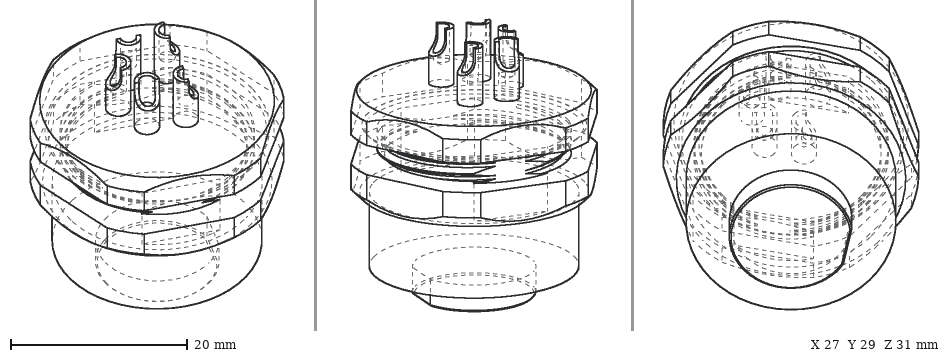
import cadquery as cq
import math


plug_length = 3.25
body_length = 8.9
nut_thickness = 4.5
neck_gap = 3.1
collar_thickness = 0.4
flange_thickness = 4.0
pin_length = 6.8

body_bottom = plug_length
nut_bottom = body_bottom + body_length
nut_top = nut_bottom + nut_thickness
collar_bottom = nut_top + neck_gap
flange_bottom = collar_bottom + collar_thickness
flange_top = flange_bottom + flange_thickness
pin_top = flange_top + pin_length

plug_radius = 7.0
plug_flat_y = 6.55
plug_chamfer = 0.2
body_radius = 11.9

across_flats = 27.0
corner_radius = 14.5
flange_chamfer = 1.2
nut_chamfer = 1.5
collar_radius = 12.75
collar_chamfer = 0.35

thread_radius = 11.02
neck_across_flats = 20.05
pitch = 1.5
thread_depth = 0.82
root_width = 0.4
flank_angle = 30.0
cutter_overshoot = 0.3
groove_end_angle = 237.0
groove_end_z = 18.8
groove_turns = 3
runout_angle = 73.0

pin_circle_radius = 4.56
pin_radius = 1.43
cup_radius = 0.92
cup_depth = 4.0
cup_tip_angle = 118.0
cut_straight = 1.35
cut_arc_radius = 2.0
pin_angles = [(30, 90), (150, 90), (210, 180), (270, 270), (330, 0)]


def cylinder(radius, bottom, top):
    return cq.Workplane("XY").workplane(offset=bottom).circle(radius).extrude(top - bottom)


def hexagon(bottom, thickness, chamfer, chamfer_face):
    """Hexagon with flats facing +X and -X, limited by a chamfered round blank."""
    prism = (
        cq.Workplane("XY")
        .workplane(offset=bottom)
        .polygon(6, across_flats, circumscribed=True)
        .extrude(thickness)
    )
    blank = cylinder(corner_radius, bottom, bottom + thickness)
    return prism.intersect(blank.faces(chamfer_face).chamfer(chamfer))


def sweep_groove(helix):
    """Sweep the thread groove profile from the start of a helix on the +X axis."""
    root_radius = thread_radius - thread_depth
    outer_radius = thread_radius + cutter_overshoot
    root_half = root_width / 2
    flank_rise = (outer_radius - root_radius) * math.tan(math.radians(flank_angle))
    outer_half = root_half + flank_rise
    profile = cq.Workplane("XZ").polyline([
        (root_radius, -root_half),
        (outer_radius, -outer_half),
        (outer_radius, outer_half),
        (root_radius, root_half),
    ]).close()
    return profile.sweep(cq.Workplane(helix), isFrenet=True)


def thread_groove():
    """Right-hand groove of full depth."""
    height = groove_turns * pitch
    groove = sweep_groove(cq.Wire.makeHelix(pitch, height, thread_radius))
    return groove.rotate((0, 0, 0), (0, 0, 1), groove_end_angle).translate((0, 0, groove_end_z - height))


def thread_runout():
    """Continuation of the groove that climbs out to the thread surface."""
    height = pitch * runout_angle / 360
    cone_angle = math.degrees(math.atan2(thread_depth, height))
    slant = 1 / math.cos(math.radians(cone_angle))
    runout = sweep_groove(cq.Wire.makeHelix(pitch * slant, height * slant, thread_radius, angle=cone_angle))
    return runout.rotate((0, 0, 0), (0, 0, 1), groove_end_angle).translate((0, 0, groove_end_z))


def neck_slab(bottom, top):
    """Block between the two neck flats, which face +X and -X."""
    slab = cq.Workplane("XY").workplane(offset=bottom)
    return slab.rect(neck_across_flats, 2 * corner_radius).extrude(top - bottom)


def threaded_neck():
    neck = cylinder(thread_radius, nut_bottom, flange_bottom)
    neck = neck.cut(thread_groove()).cut(thread_runout())
    return neck.intersect(neck_slab(nut_bottom, flange_bottom))


def locking_nut():
    """Hexagon whose round bore leaves a gap beside each flat of the neck."""
    nut = hexagon(nut_bottom, nut_thickness, nut_chamfer, "<Z")
    gaps = cylinder(thread_radius, nut_bottom, nut_top).cut(neck_slab(nut_bottom, nut_top))
    return nut.cut(gaps)


def collar():
    return cylinder(collar_radius, collar_bottom, flange_bottom).faces("<Z").chamfer(collar_chamfer)


def plug():
    blank = cylinder(plug_radius, 0, plug_length)
    beyond_flat = (
        cq.Workplane("XY")
        .rect(2 * plug_radius, 2 * plug_radius)
        .extrude(plug_length)
        .translate((0, plug_flat_y + plug_radius, 0))
    )
    return blank.cut(beyond_flat).faces("<Z").chamfer(plug_chamfer)


def solder_pin():
    """Pin on the Z axis with a drilled cup, opened on its +X side."""
    tip_depth = cup_radius / math.tan(math.radians(cup_tip_angle / 2))
    cup_bottom = pin_top - cup_depth
    cup = (
        cq.Workplane("XZ")
        .moveTo(0, pin_top)
        .lineTo(cup_radius, pin_top)
        .lineTo(cup_radius, cup_bottom)
        .lineTo(0, cup_bottom - tip_depth)
        .close()
        .revolve(360, (0, 0, 0), (0, 1, 0))
    )
    arc_z = pin_top - cut_straight
    arc_mid = cut_arc_radius * math.sqrt(0.5)
    opening = (
        cq.Workplane("XZ")
        .moveTo(0, pin_top)
        .lineTo(0, arc_z)
        .threePointArc((cut_arc_radius - arc_mid, arc_z - arc_mid), (cut_arc_radius, arc_z - cut_arc_radius))
        .lineTo(cut_arc_radius, pin_top)
        .close()
        .extrude(pin_radius, both=True)
    )
    return cylinder(pin_radius, flange_bottom, pin_top).cut(cup).cut(opening)


def pins():
    pin = solder_pin()
    placed = []
    for position, opening in pin_angles:
        x = pin_circle_radius * math.cos(math.radians(position))
        y = pin_circle_radius * math.sin(math.radians(position))
        placed.append(pin.rotate((0, 0, 0), (0, 0, 1), opening).translate((x, y, 0)))
    return placed


result = plug().union(cylinder(body_radius, body_bottom, nut_bottom))
result = result.union(threaded_neck())
result = result.union(locking_nut())
result = result.union(collar())
result = result.union(hexagon(flange_bottom, flange_thickness, flange_chamfer, ">Z"))
for pin in pins():
    result = result.union(pin)